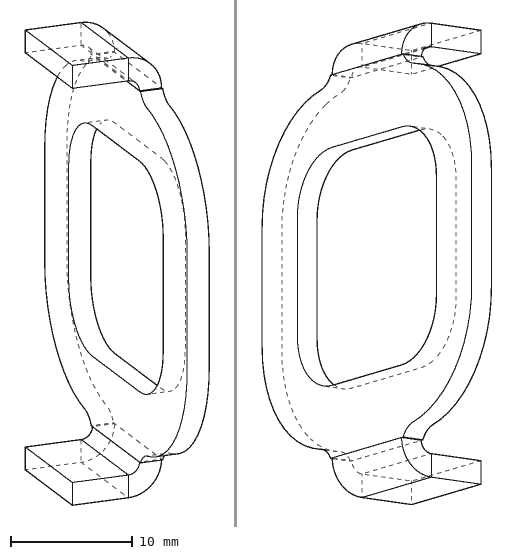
import cadquery as cq
import math

overall_width = 30.2
overall_height = 38.2
thickness = 2.0

corner_radius = 10.15
corner_center_z = 5.08
window_size = 20.0
window_radius = 5.0

tab_width = 10.0
tab_length = 5.0
bend_inner_radius = 1.0
bend_outer_radius = bend_inner_radius + thickness

neck_fillet_radius = 2.0
neck_z = overall_height / 2 - bend_outer_radius

half_width = overall_width / 2
corner_center_x = half_width - corner_radius


fillet_center_x = tab_width / 2 + neck_fillet_radius
center_distance = corner_radius + neck_fillet_radius
center_offset_x = fillet_center_x - corner_center_x
fillet_center_z = corner_center_z + math.sqrt(center_distance**2 - center_offset_x**2)

foot_angle = math.atan2(fillet_center_z - corner_center_z, center_offset_x)
fillet_start_angle = foot_angle + math.pi
fillet_end_angle = math.pi + math.asin((fillet_center_z - neck_z) / neck_fillet_radius)


def corner_point(angle):
    """Point (x, z) on the upper right corner arc of the ring."""
    return (
        corner_center_x + corner_radius * math.cos(angle),
        corner_center_z + corner_radius * math.sin(angle),
    )


def fillet_point(angle):
    """Point (x, z) on the upper right neck fillet."""
    return (
        fillet_center_x + neck_fillet_radius * math.cos(angle),
        fillet_center_z + neck_fillet_radius * math.sin(angle),
    )


def make_plate():
    """Flat ring with a neck at each end; its front face lies on Y = 0."""
    corner_mid = corner_point(foot_angle / 2)
    foot = corner_point(foot_angle)
    fillet_mid = fillet_point((fillet_start_angle + fillet_end_angle) / 2)
    neck_end = fillet_point(fillet_end_angle)
    quarter = (
        cq.Workplane("XZ")
        .lineTo(half_width, 0)
        .lineTo(half_width, corner_center_z)
        .threePointArc(corner_mid, foot)
        .threePointArc(fillet_mid, neck_end)
        .lineTo(0, neck_z)
        .close()
        .extrude(-thickness)
    )
    half = quarter.union(quarter.mirror("YZ"))
    ring = half.union(half.mirror("XY")).clean()
    window = (
        cq.Workplane("XZ")
        .rect(window_size, window_size)
        .extrude(-thickness)
        .edges("|Y")
        .fillet(window_radius)
    )
    return ring.cut(window)


def make_bend(side):
    """Quarter-round bend from the neck to the tab; side is +1 for top, -1 for bottom."""
    center_y = -bend_inner_radius
    diagonal = math.sqrt(0.5)
    outer_diagonal = bend_outer_radius * diagonal
    inner_diagonal = bend_inner_radius * diagonal
    return (
        cq.Workplane("YZ")
        .moveTo(thickness, side * neck_z)
        .threePointArc(
            (center_y + outer_diagonal, side * (neck_z + outer_diagonal)),
            (center_y, side * (neck_z + bend_outer_radius)),
        )
        .lineTo(center_y, side * (neck_z + bend_inner_radius))
        .threePointArc(
            (center_y + inner_diagonal, side * (neck_z + inner_diagonal)),
            (0, side * neck_z),
        )
        .close()
        .extrude(tab_width / 2, both=True)
    )


def make_tab(side):
    """Flat tab reaching forward (-Y) from the end of a bend."""
    center_y = -bend_inner_radius - tab_length / 2
    center_z = side * (overall_height - thickness) / 2
    return cq.Workplane("XY").box(tab_width, tab_length, thickness).translate((0, center_y, center_z))


plate = make_plate()
bends = []
tabs = []
for side in (1, -1):
    bends.append(make_bend(side).val())
    tabs.append(make_tab(side).val())

result = cq.Compound.makeCompound([plate.val(), *bends, *tabs])